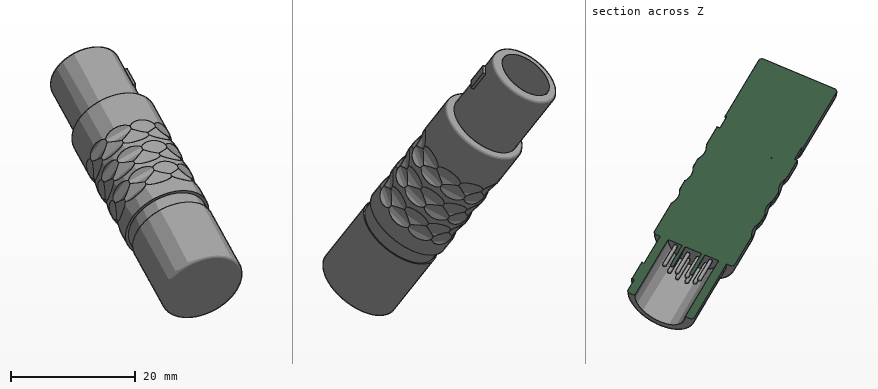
import cadquery as cq
import math

total_length = 50.0
nose_length = 12.0
grip_end = 35.0
collar_start = 37.4

nose_radius = 6.0
grip_radius = 7.25
neck_radius = 6.75
collar_radius = 7.0

nose_fillet = 0.6
shoulder_fillet = 0.6

bore_radius = 4.5
bore_depth = nose_length

pin_radius = 0.325
pin_length = 4.0
pin_rings = [(12, 3.25, 15.0), (6, 1.75, 0.0)]

key_start = 2.7
key_length = 3.6
key_width = 2.0
key_top = 6.4

dimples_per_ring = 10
dimple_depth = 0.43
dimple_cutter_radius = 2.75
dimple_cutter_length = grip_radius
rings_per_pair = 2
pair_count = 3
pair_pitch = 4.8
first_ring_x = 20.05
ring_spacing = 1.3


def cylinder_x(start, length, radius, y=0.0, z=0.0):
    """Round bar parallel to the X axis."""
    plane = cq.Workplane("YZ", origin=(start, y, z))
    return plane.circle(radius).extrude(length)


def turned_body():
    """Stepped body of nose, grip, neck and collar."""
    nose = cylinder_x(0, nose_length, nose_radius)
    nose = nose.faces("<X").edges().fillet(nose_fillet)
    grip = cylinder_x(nose_length, grip_end - nose_length, grip_radius)
    grip = grip.faces("<X").edges().fillet(shoulder_fillet)
    neck = cylinder_x(grip_end, collar_start - grip_end, neck_radius)
    collar = cylinder_x(collar_start, total_length - collar_start, collar_radius)
    collar = collar.faces(">X").edges().fillet(shoulder_fillet)
    return nose.union(grip).union(neck).union(collar)


def dimple_cutter(x, angle):
    """Bar lying across the grip; angle is measured about X from the +Y side."""
    axis_height = grip_radius - dimple_depth + dimple_cutter_radius
    bar = (
        cq.Workplane("XY", origin=(x, axis_height, 0))
        .circle(dimple_cutter_radius)
        .extrude(dimple_cutter_length / 2, both=True)
    )
    return bar.rotate((0, 0, 0), (1, 0, 0), angle)


def cut_dimples(body):
    """Cut every pair of staggered dimple rings into the grip."""
    step = 360.0 / dimples_per_ring
    for pair in range(pair_count):
        for ring in range(rings_per_pair):
            x = first_ring_x + pair * pair_pitch + ring * ring_spacing
            for i in range(dimples_per_ring):
                body = body.cut(dimple_cutter(x, (i + ring / rings_per_pair) * step))
    return body


def guide_key():
    """Rectangular key rooted in the nose wall."""
    root = (bore_radius + nose_radius) / 2
    key = cq.Workplane("XY").box(key_length, key_top - root, key_width, centered=(False, False, True))
    return key.translate((key_start, root, 0))


def contact_pins(body):
    """Add the round-tipped pins, sunk into the bore floor by one pin radius."""
    for count, pitch_radius, first_angle in pin_rings:
        for i in range(count):
            angle = math.radians(first_angle + i * 360.0 / count)
            y = pitch_radius * math.cos(angle)
            z = pitch_radius * math.sin(angle)
            pin = cylinder_x(bore_depth - pin_length, pin_length + pin_radius, pin_radius, y, z)
            tip = cq.Workplane("XY").sphere(pin_radius).translate((bore_depth - pin_length, y, z))
            body = body.union(pin.union(tip))
    return body


body = cut_dimples(turned_body())
body = body.union(guide_key())
body = body.cut(cylinder_x(0, bore_depth, bore_radius))
result = contact_pins(body)